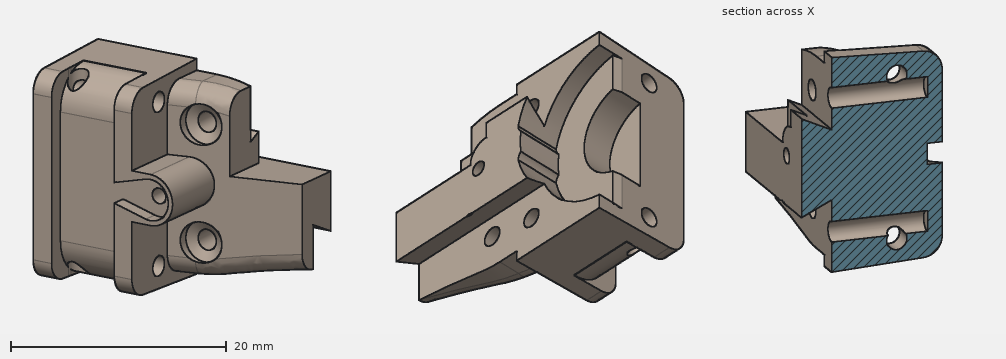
import cadquery as cq
import math

body_size = 10.97
overall_depth = 13.93
overall_length = 23.9
body_height = 20.95
body_half_height = body_height / 2
front_height = 20.0
front_half_height = front_height / 2
round_radius = 2.0

recess_left = 2.05
recess_right = 9.0
recess_floor = 1.5
recess_end_radius = 3.92
recess_flat_half = 6.25
boss_x = 13.0
boss_radius = 2.49
drip_radius = 2.0
drip_mouth_half = 1.0
boss_hole_diameter = 1.5

body_hole_diameter = 1.95
side_hole_y = 4.52
side_hole_z = 7.98
upright_hole_x = 3.0
upright_hole_y = 3.05
floor_hole_z = 6.52

cavity_axis_x = -1.0
cavity_radius = 8.96
cavity_floor = 9.0
well_radius = 5.02
well_floor = 5.7
lip_depth = 0.95
lip_width = 0.25
ridge_radius = 8.45
ridge_half_width = 1.22
ridge_root_half_width = 2.0

wing_front_left = 6.0
wing_front_right = 9.05
wing_half_height = 9.35
wing_bend_x = 13.17
wing_top_end_x = 16.95
wing_top_end_z = 8.85
wing_top_end_slope = -0.27
arm_top_z = 1.0
arm_bottom_z = -7.75
arm_end_slope = -0.12

screw_x = 14.2
screw_z = 5.74
screw_diameter = 2.0
screw_head_diameter = 4.0
screw_cone_depth = 0.57

rail_half_back = 4.83
rail_half_root = 3.45
rail_step_x = 11.95
rail_step_y = 12.33
rail_knob_radius = 2.1


def rod_y(x, z, diameter, front, back):
    """Cylinder along Y between two depths."""
    plane = cq.Workplane("XZ", origin=(x, front, z))
    return plane.circle(diameter / 2).extrude(front - back)


def box(x_range, y_range, z_range):
    """Box given by its limits."""
    ranges = (x_range, y_range, z_range)
    size = [high - low for low, high in ranges]
    return cq.Workplane("XY", origin=[low for low, high in ranges]).box(*size, centered=False)


def slope_y(x):
    """Depth of the wing's sloping front at a given X."""
    slope = (wing_front_right - wing_front_left) / (overall_length - body_size)
    return wing_front_left + slope * (x - body_size)


def make_body():
    profile = [
        (0, -front_half_height),
        (body_size, -body_half_height),
        (body_size, body_half_height),
        (0, front_half_height),
    ]
    block = cq.Workplane("YZ").polyline(profile).close().extrude(body_size)
    return block.edges("|X and <Y").fillet(round_radius)


def make_wing():
    outline = (
        cq.Workplane("XZ")
        .moveTo(recess_right, wing_half_height)
        .lineTo(wing_bend_x, wing_half_height)
        .spline(
            [(wing_top_end_x, wing_top_end_z)],
            tangents=[(1, 0), (1, wing_top_end_slope)],
            includeCurrent=True,
        )
        .lineTo(wing_top_end_x, arm_top_z)
        .lineTo(overall_length, arm_top_z)
        .lineTo(overall_length, arm_bottom_z)
        .spline(
            [(wing_top_end_x, -wing_top_end_z), (wing_bend_x, -wing_half_height)],
            tangents=[(-1, arm_end_slope), (-1, 0)],
            includeCurrent=True,
        )
        .lineTo(recess_right, -wing_half_height)
        .close()
        .extrude(-body_size)
    )
    start_x = 0
    end_x = overall_length + body_size
    wedge = (
        cq.Workplane("XY")
        .polyline([(start_x, 0), (end_x, 0), (end_x, slope_y(end_x)), (start_x, slope_y(start_x))])
        .close()
        .extrude(body_half_height, both=True)
    )
    wing = outline.cut(wedge)
    borders = wing.faces("<Y").edges(
        cq.selectors.BoxSelector((0, 0, wing_top_end_z), (wing_top_end_x, body_size, body_half_height))
        + cq.selectors.BoxSelector((0, 0, -body_half_height), (overall_length, body_size, arm_bottom_z))
    )
    return borders.fillet(round_radius)


def make_boss():
    web = box((recess_right, boss_x), (0, body_size), (-boss_radius, boss_radius))
    return web.union(rod_y(boss_x, 0, 2 * boss_radius, 0, body_size))


def make_rail():
    profile = [
        (body_size, -rail_half_root),
        (overall_depth, -rail_half_back),
        (overall_depth, rail_half_back),
        (body_size, rail_half_root),
    ]
    rail = cq.Workplane("YZ").polyline(profile).close().extrude(overall_length)
    end_cut = box((wing_top_end_x, overall_length), (0, overall_depth), (arm_top_z, body_half_height))
    step_cut = box((rail_step_x, overall_length), (rail_step_y, overall_depth), (arm_top_z, body_half_height))
    knob = rod_y(rail_step_x, arm_top_z, 2 * rail_knob_radius, rail_step_y, overall_depth)
    step_cut = step_cut.cut(knob)
    return rail.cut(end_cut).cut(step_cut)


def make_front_recess():
    arc_z = recess_flat_half + recess_end_radius
    arc_y = recess_floor + recess_end_radius
    diagonal = recess_end_radius * math.sqrt(0.5)
    mid_y = arc_y - diagonal
    mid_z = recess_flat_half + diagonal
    recess = (
        cq.Workplane("YZ", origin=(recess_left, 0, 0))
        .moveTo(recess_floor, -recess_flat_half)
        .lineTo(recess_floor, recess_flat_half)
        .threePointArc((mid_y, mid_z), (arc_y, arc_z))
        .lineTo(arc_y, body_half_height)
        .lineTo(0, body_half_height)
        .lineTo(0, -body_half_height)
        .lineTo(arc_y, -body_half_height)
        .lineTo(arc_y, -arc_z)
        .threePointArc((mid_y, -mid_z), (recess_floor, -recess_flat_half))
        .close()
        .extrude(recess_right - recess_left)
    )
    run = boss_x - recess_right
    reach = math.hypot(run, drip_mouth_half)
    angle = math.atan2(drip_mouth_half, -run) - math.acos(drip_radius / reach)
    tangent_x = boss_x + drip_radius * math.cos(angle)
    tangent_z = drip_radius * math.sin(angle)
    drip = (
        cq.Workplane("XZ")
        .moveTo(recess_right, -drip_mouth_half)
        .lineTo(tangent_x, -tangent_z)
        .threePointArc((boss_x + drip_radius, 0), (tangent_x, tangent_z))
        .lineTo(recess_right, drip_mouth_half)
        .close()
        .extrude(-recess_floor)
    )
    return recess.union(drip)


def make_ridge():
    """Low ridge on the cavity wall, with hollow flanks that flow out of the wall."""
    root_x = cavity_axis_x + math.sqrt(cavity_radius**2 - ridge_root_half_width**2)
    crest_edge_x = cavity_axis_x + math.sqrt(ridge_radius**2 - ridge_half_width**2)
    rise = root_x - crest_edge_x
    run = ridge_root_half_width - ridge_half_width
    flank_radius = (rise**2 + run**2) / (2 * rise)
    half_turn = math.asin(run / flank_radius) / 2
    flank_x = root_x - flank_radius * (1 - math.cos(half_turn))
    flank_z = ridge_root_half_width - flank_radius * math.sin(half_turn)
    wall_x = cavity_axis_x + cavity_radius
    return (
        cq.Workplane("XZ", origin=(0, cavity_floor, 0))
        .moveTo(crest_edge_x, -ridge_half_width)
        .threePointArc((cavity_axis_x + ridge_radius, 0), (crest_edge_x, ridge_half_width))
        .threePointArc((flank_x, flank_z), (root_x, ridge_root_half_width))
        .lineTo(wall_x, ridge_root_half_width)
        .lineTo(wall_x, -ridge_root_half_width)
        .lineTo(root_x, -ridge_root_half_width)
        .threePointArc((flank_x, -flank_z), (crest_edge_x, -ridge_half_width))
        .close()
        .extrude(cavity_floor - overall_depth)
    )


def make_rear_cavity():
    cavity = rod_y(cavity_axis_x, 0, 2 * cavity_radius, cavity_floor, overall_depth)
    well = rod_y(cavity_axis_x, 0, 2 * well_radius, well_floor, overall_depth)
    lip_half_height = math.sqrt(cavity_radius**2 - cavity_axis_x**2)
    lip = (
        cq.Workplane("XY")
        .polyline([(0, cavity_floor - lip_depth), (lip_width, cavity_floor), (0, cavity_floor)])
        .close()
        .extrude(lip_half_height, both=True)
    )
    return cavity.cut(make_ridge()).union(well).union(lip)


def make_body_holes(side):
    """Holes of the half on the given side of Z = 0."""
    across = (
        cq.Workplane("YZ")
        .center(side_hole_y, side * side_hole_z)
        .circle(body_hole_diameter / 2)
        .extrude(overall_length)
    )
    floor_hole = rod_y(recess_right, side * floor_hole_z, body_hole_diameter, recess_floor, overall_depth)
    return across.union(floor_hole)


def make_screw_hole(side):
    head_radius = screw_head_diameter / 2
    cone_y = slope_y(screw_x + head_radius)
    profile = [
        (0, 0),
        (head_radius, 0),
        (head_radius, cone_y),
        (screw_diameter / 2, cone_y + screw_cone_depth),
        (screw_diameter / 2, overall_depth),
        (0, overall_depth),
    ]
    hole = cq.Workplane("XY").polyline(profile).close().revolve(360, (0, 0, 0), (0, 1, 0))
    return hole.translate((screw_x, 0, side * screw_z))


result = make_body().union(make_wing()).union(make_boss()).union(make_rail())
result = result.cut(make_front_recess()).cut(make_rear_cavity())
for side in (-1, 1):
    result = result.cut(make_body_holes(side)).cut(make_screw_hole(side))

upright_hole = (
    cq.Workplane("XY")
    .center(upright_hole_x, upright_hole_y)
    .circle(body_hole_diameter / 2)
    .extrude(body_half_height, both=True)
)
boss_hole = rod_y(boss_x, 0, boss_hole_diameter, 0, overall_depth)
result = result.cut(upright_hole).cut(boss_hole)